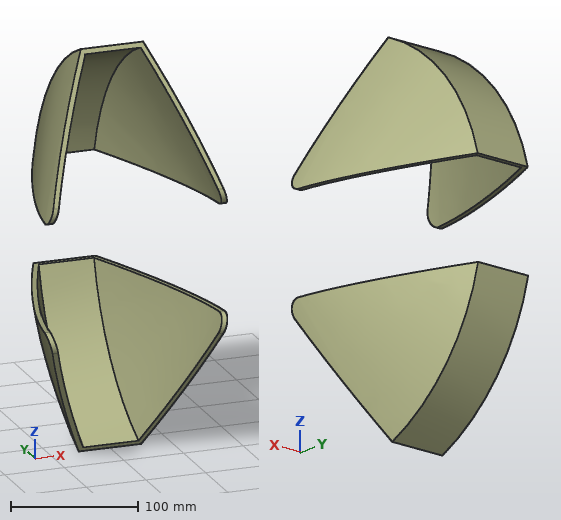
import cadquery as cq
import math

SHELL_RADIUS = 182.0
WALL = 4.55
BAND_HALF_WIDTH = 26.1
MID_RADIUS = 115.2
MID_HALF_WIDTH = 53.05
TIP_RADIUS = 48.0
TIP_HALF_WIDTH = 75.0
INNER_REACH = 27.0

OUTER_HEIGHT = 168.5
BASE_HEIGHT = 45.0
TIP_FILLET = 10.0
UPPER_AXIS_Z = 0.0
UPPER_CUT_ANGLE = 61.0
LOWER_AXIS_Z = -2.0
LOWER_CUT_ANGLE = 59.3
TRIM_MARGIN = 33.7


def arc_centre(p, q, r):
    """Centre of the circle through three points."""
    (ax, ay), (bx, by), (cx, cy) = p, q, r
    bx, by, cx, cy = bx - ax, by - ay, cx - ax, cy - ay
    det = 2 * (bx * cy - by * cx)
    b2 = bx**2 + by**2
    c2 = cx**2 + cy**2
    return ax + (cy * b2 - by * c2) / det, ay + (bx * c2 - cx * b2) / det


CHEEK_X, CHEEK_R = arc_centre(
    (BAND_HALF_WIDTH, SHELL_RADIUS), (MID_HALF_WIDTH, MID_RADIUS), (TIP_HALF_WIDTH, TIP_RADIUS)
)
CHEEK_CURVE = math.hypot(BAND_HALF_WIDTH - CHEEK_X, SHELL_RADIUS - CHEEK_R)


def cheek_point(radius, inset):
    """Point (x, radius) on the cheek arc moved inward by inset."""
    curve = CHEEK_CURVE - inset
    return CHEEK_X + math.sqrt(curve**2 - (radius - CHEEK_R) ** 2), radius


def revolved_body(inset):
    """Half turn, on the +Y side, of the profile inset from the outer surface."""
    rim = SHELL_RADIUS - inset
    rim_x, _ = cheek_point(rim, inset)
    mid_x, mid_r = cheek_point(MID_RADIUS, inset)
    end_x, _ = cheek_point(INNER_REACH, inset)
    return (
        cq.Workplane("XY")
        .moveTo(-rim_x, rim)
        .lineTo(rim_x, rim)
        .threePointArc((mid_x, mid_r), (end_x, INNER_REACH))
        .lineTo(end_x, 0)
        .lineTo(-end_x, 0)
        .lineTo(-end_x, INNER_REACH)
        .threePointArc((-mid_x, mid_r), (-rim_x, rim))
        .close()
        .revolve(180, (0, 0, 0), (1, 0, 0))
        .rotate((0, 0, 0), (1, 0, 0), -90)
    )


def trim_prism(side, axis_z, cut_angle):
    """Wedge between the flat base and the slanted front edge, with its tip rounded."""
    corner_z = OUTER_HEIGHT - side * axis_z
    corner_y = math.sqrt(SHELL_RADIUS**2 - corner_z**2)
    base_z = BASE_HEIGHT - side * axis_z
    run = 1 / math.tan(math.radians(cut_angle))
    tip_y = corner_y - (corner_z - base_z) * run
    top_z = SHELL_RADIUS + TRIM_MARGIN
    top_y = corner_y + (top_z - corner_z) * run
    back_y = SHELL_RADIUS + TRIM_MARGIN
    outline = [(tip_y, side * base_z), (top_y, side * top_z), (back_y, side * top_z), (back_y, side * base_z)]
    return (
        cq.Workplane("YZ")
        .polyline(outline)
        .close()
        .extrude(SHELL_RADIUS, both=True)
        .edges("|X and <Y")
        .fillet(TIP_FILLET)
    )


def cover(side, axis_z, cut_angle):
    """Curved three-sided cover; side is +1 above Z = 0 and -1 below."""
    shell = revolved_body(0).cut(revolved_body(WALL))
    return shell.intersect(trim_prism(side, axis_z, cut_angle)).translate((0, 0, axis_z))


upper_cover = cover(1, UPPER_AXIS_Z, UPPER_CUT_ANGLE)
lower_cover = cover(-1, LOWER_AXIS_Z, LOWER_CUT_ANGLE)

result = cq.Compound.makeCompound([upper_cover.solids().val(), lower_cover.solids().val()])